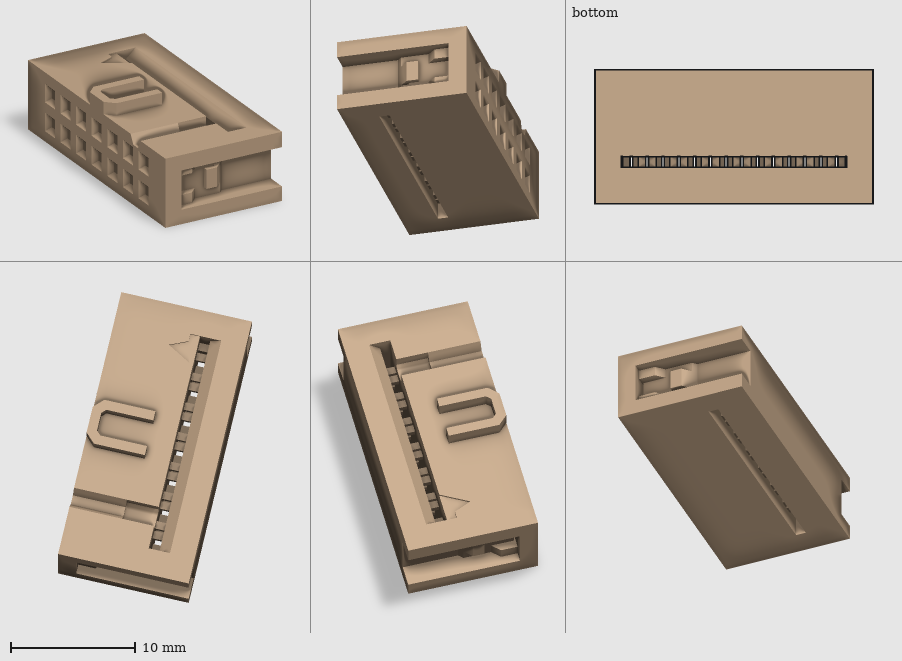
import cadquery as cq
import math


LENGTH = 22.4
DEPTH = 10.8
BODY_HEIGHT = 6.1
KEY_HEIGHT = 1.1

PITCH = 2.54
COLUMNS = 7
ROW_CENTRE_Z = 3.0
LOWER_ROW_Z = ROW_CENTRE_Z - PITCH / 2
UPPER_ROW_Z = ROW_CENTRE_Z + PITCH / 2
COLUMN_XS = [(column - (COLUMNS - 1) / 2) * PITCH for column in range(COLUMNS)]

ENTRY_SIZE = 1.63
ENTRY_DEPTH = 0.41

SLOT_LENGTH = 18.15
SLOT_FRONT_Y = 7.0
SLOT_REAR_Y = 7.85
MOUTH_REAR_Y = 8.76
MOUTH_DEPTH = 0.84

FORK_WIDTH = 1.48
FORK_GAP = 0.2
FORK_THICKNESS = 0.4

MARK_DEPTH = 0.15
MARK_TIP_X = -7.8
MARK_TIP_Y = 4.74
MARK_LEFT_X = -8.45
MARK_RIGHT_X = -6.52
MARK_SHOULDER_Y = 6.2

KEY_WIDTH = 3.75
KEY_LENGTH = 5.0
KEY_ARM = 0.78
KEY_CORNER = 0.78
KEY_INNER_CORNER = 0.35

GROOVE_X = 2.5 * PITCH
GROOVE_WIDTH = 1.63
GROOVE_FLOOR_WIDTH = 0.78
GROOVE_DEPTH = 0.8
STEEP_END_Y = 4.36
BEVEL_WIDTH = 0.24
DISH_RADIUS = 0.3
DISH_ARC_ANGLE = math.radians(45)

RECESS_FRONT_Y = 1.5
RECESS_BOTTOM_Z = 1.28
RECESS_TOP_Z = 4.74
REAR_LEVEL = 1.76
MIDDLE_LEVEL = 1.41
RAISED_LEVEL = 0.76
RAMP_START_Y = 6.2
LEDGE_REAR_Y = 3.54
LATCH_HEIGHT = 1.7
LATCH_BOTTOM_Z = 2.2
LATCH_FRONT_Y = 4.24
LATCH_THICKNESS = 0.4
UNDERCUT_REAR_Y = 1.63


def block(x_range, y_range, z_range):
    """Box given by its limits along each axis."""
    sizes = [high - low for low, high in (x_range, y_range, z_range)]
    corner = (x_range[0], y_range[0], z_range[0])
    return cq.Workplane("XY").box(*sizes, centered=False).translate(corner)


def centred(middle, width):
    """Limits of a span of the given width about a middle."""
    return (middle - width / 2, middle + width / 2)


def plate(outline, bottom_z, top_z):
    """Flat prism over an XY outline."""
    return cq.Workplane("XY").workplane(offset=bottom_z).polyline(outline).close().extrude(top_z - bottom_z)


def bar_along_y(outline, front_y, rear_y):
    """Prism along Y over an XZ outline."""
    return cq.Workplane("XZ", origin=(0, front_y, 0)).polyline(outline).close().extrude(front_y - rear_y)


def pin_entries():
    """Pin entry funnels in the mating face, one per contact."""
    inner_size = ENTRY_SIZE - 2 * ENTRY_DEPTH
    funnel = (
        cq.Workplane("XZ")
        .rect(ENTRY_SIZE, ENTRY_SIZE)
        .workplane(offset=-ENTRY_DEPTH)
        .rect(inner_size, inner_size)
        .loft(combine=True)
    )
    return [funnel.translate((x, 0, z)) for x in COLUMN_XS for z in (LOWER_ROW_Z, UPPER_ROW_Z)]


def cable_slot():
    """Slot from top to bottom, with a mouth sloping back to the rear at the top."""
    outline = [
        (SLOT_FRONT_Y, 0),
        (SLOT_REAR_Y, 0),
        (SLOT_REAR_Y, BODY_HEIGHT - MOUTH_DEPTH),
        (MOUTH_REAR_Y, BODY_HEIGHT),
        (SLOT_FRONT_Y, BODY_HEIGHT),
    ]
    return cq.Workplane("YZ").polyline(outline).close().extrude(SLOT_LENGTH / 2, both=True)


def add_contact_forks(body):
    """Two-pronged forks across the slot; the two rows are staggered by half the pitch.

    The top of each fork lies on the axis of its row.
    """
    prong_width = (FORK_WIDTH - FORK_GAP) / 2
    prong_offset = (FORK_GAP + prong_width) / 2
    slot_ys = (SLOT_FRONT_Y, SLOT_REAR_Y)
    for row_z, stagger in ((UPPER_ROW_Z, -PITCH / 4), (LOWER_ROW_Z, PITCH / 4)):
        for column_x in COLUMN_XS:
            for side in (-1, 1):
                prong_xs = centred(column_x + stagger + side * prong_offset, prong_width)
                body = body.union(block(prong_xs, slot_ys, (row_z - FORK_THICKNESS, row_z)))
    return body


def pin_one_mark():
    """Shallow pointed mark joined to the front edge of the slot."""
    outline = [
        (-SLOT_LENGTH / 2, SLOT_FRONT_Y),
        (-SLOT_LENGTH / 2, MARK_SHOULDER_Y),
        (MARK_LEFT_X, MARK_SHOULDER_Y),
        (MARK_TIP_X, MARK_TIP_Y),
        (MARK_RIGHT_X, SLOT_FRONT_Y),
    ]
    return plate(outline, BODY_HEIGHT - MARK_DEPTH, BODY_HEIGHT)


def polarising_key():
    """U-shaped key on the top, closed towards the mating face."""
    outer = KEY_WIDTH / 2
    inner = outer - KEY_ARM
    right_half = [
        (outer - KEY_CORNER, 0),
        (outer, KEY_CORNER),
        (outer, KEY_LENGTH),
        (inner, KEY_LENGTH),
        (inner, KEY_ARM + KEY_INNER_CORNER),
        (inner - KEY_INNER_CORNER, KEY_ARM),
    ]
    left_half = [(-x, y) for x, y in reversed(right_half)]
    return plate(right_half + left_half, BODY_HEIGHT, BODY_HEIGHT + KEY_HEIGHT)


def dish(rim_z):
    """Dished groove floor; its sides and front are arcs turning from 45 degrees to level."""
    arc_width = DISH_RADIUS * math.sin(DISH_ARC_ANGLE)
    arc_mid_width = arc_width - DISH_RADIUS * math.sin(DISH_ARC_ANGLE / 2)
    floor_z = rim_z - DISH_RADIUS * (1 - math.cos(DISH_ARC_ANGLE))
    arc_mid_z = floor_z + DISH_RADIUS * (1 - math.cos(DISH_ARC_ANGLE / 2))
    left, right = centred(GROOVE_X, GROOVE_WIDTH - 2 * BEVEL_WIDTH)
    across = (
        cq.Workplane("XZ", origin=(0, STEEP_END_Y, 0))
        .moveTo(left, rim_z)
        .threePointArc((left + arc_mid_width, arc_mid_z), (left + arc_width, floor_z))
        .lineTo(right - arc_width, floor_z)
        .threePointArc((right - arc_mid_width, arc_mid_z), (right, rim_z))
        .close()
        .extrude(STEEP_END_Y - SLOT_FRONT_Y)
    )
    along = (
        cq.Workplane("YZ", origin=(left, 0, 0))
        .moveTo(STEEP_END_Y, rim_z)
        .threePointArc((STEEP_END_Y + arc_mid_width, arc_mid_z), (STEEP_END_Y + arc_width, floor_z))
        .lineTo(SLOT_FRONT_Y, floor_z)
        .lineTo(SLOT_FRONT_Y, rim_z)
        .close()
        .extrude(right - left)
    )
    return across.intersect(along)


def top_groove():
    """Sloping-walled groove in front, upright walls with a bevelled, dished floor behind."""
    floor_z = BODY_HEIGHT - GROOVE_DEPTH
    bevel_z = floor_z - BEVEL_WIDTH
    top_left, top_right = centred(GROOVE_X, GROOVE_WIDTH)
    floor_left, floor_right = centred(GROOVE_X, GROOVE_FLOOR_WIDTH)
    front_outline = [
        (top_left, BODY_HEIGHT),
        (floor_left, floor_z),
        (floor_right, floor_z),
        (top_right, BODY_HEIGHT),
    ]
    rear_outline = [
        (top_left, BODY_HEIGHT),
        (top_left, floor_z),
        (top_left + BEVEL_WIDTH, bevel_z),
        (top_right - BEVEL_WIDTH, bevel_z),
        (top_right, floor_z),
        (top_right, BODY_HEIGHT),
    ]
    groove = bar_along_y(front_outline, 0, STEEP_END_Y)
    groove = groove.union(bar_along_y(rear_outline, STEEP_END_Y, SLOT_FRONT_Y))
    return groove.union(dish(bevel_z))


def end_recess():
    """Recess in the -X end; its floor rises in 45 degree ramps and carries an undercut latch hook."""
    end_x = -LENGTH / 2
    opening = [
        (0, RECESS_FRONT_Y),
        (0, DEPTH),
        (REAR_LEVEL, DEPTH),
        (REAR_LEVEL, RAMP_START_Y),
    ]
    ledge_floor = [
        (MIDDLE_LEVEL, RAMP_START_Y - (REAR_LEVEL - MIDDLE_LEVEL)),
        (MIDDLE_LEVEL, LEDGE_REAR_Y),
        (RAISED_LEVEL, LEDGE_REAR_Y - (MIDDLE_LEVEL - RAISED_LEVEL)),
        (RAISED_LEVEL, RECESS_FRONT_Y),
    ]
    latch_rear_y = RAMP_START_Y - (REAR_LEVEL - RAISED_LEVEL)
    latch_under = RAISED_LEVEL + LATCH_THICKNESS
    latch_floor = [
        (RAISED_LEVEL, latch_rear_y),
        (RAISED_LEVEL, LATCH_FRONT_Y),
        (latch_under, LATCH_FRONT_Y),
        (latch_under, latch_rear_y),
        (MIDDLE_LEVEL, latch_rear_y),
        (MIDDLE_LEVEL, UNDERCUT_REAR_Y),
        (REAR_LEVEL, UNDERCUT_REAR_Y),
        (REAR_LEVEL, RECESS_FRONT_Y),
    ]
    latch_top_z = LATCH_BOTTOM_Z + LATCH_HEIGHT
    ledges = [(end_x + inset, y) for inset, y in opening + ledge_floor]
    latch = [(end_x + inset, y) for inset, y in opening + latch_floor]
    recess = plate(ledges, RECESS_BOTTOM_Z, LATCH_BOTTOM_Z)
    recess = recess.union(plate(latch, LATCH_BOTTOM_Z, latch_top_z))
    return recess.union(plate(ledges, latch_top_z, RECESS_TOP_Z))


body = block(centred(0, LENGTH), (0, DEPTH), (0, BODY_HEIGHT))
body = body.union(polarising_key())
for entry in pin_entries():
    body = body.cut(entry)
body = body.cut(cable_slot())
body = body.cut(pin_one_mark())
body = body.cut(top_groove())
left_recess = end_recess()
body = body.cut(left_recess)
body = body.cut(left_recess.mirror("YZ"))
result = add_contact_forks(body)